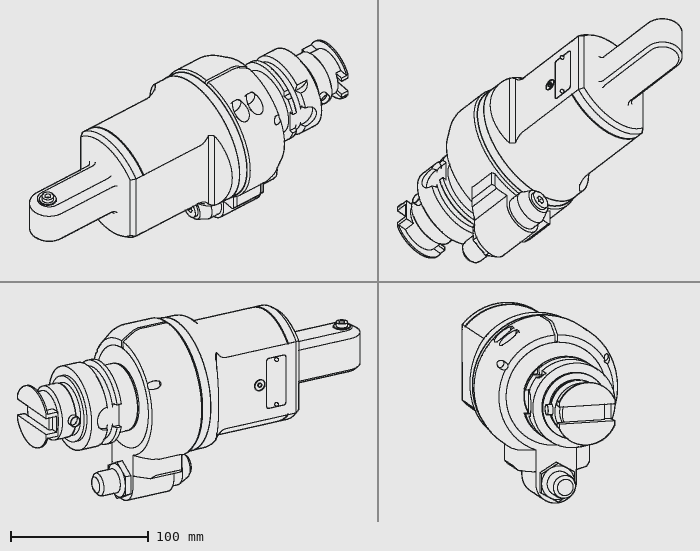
import cadquery as cq
import math

TOTAL_LENGTH = 272.5

TAIL_RADIUS = 34.0 / 2
TAIL_FLANGE_RADIUS = 23.2
TAIL_FLANGE_THICKNESS = 1.4
TAIL_HALF_WIDTH = 21.0
TAIL_SLOT_WIDTH = 12.5
TAIL_SLOT_DEPTH = 6.0
TAIL_POCKET_DEPTH = 8.7
TAIL_POCKET_FLOOR_X = 15.0
LUG_WIDTH = 19.0
LUG_LENGTH_LEFT = 9.8
LUG_LENGTH_RIGHT = 6.0
PILOT_START = 14.2
PILOT_RADIUS = 20.2
PILOT_RELIEF_START = 25.5
PILOT_RELIEF_RADIUS = 19.5
CROSS_TUBE_STATION = 23.0
CROSS_TUBE_DIAMETER = 8.0
CROSS_TUBE_BORE = 7.4
CROSS_TUBE_REACH = 23.7
STEP_START = 29.7
STEP_RADIUS = 24.5
COLLAR_START = 32.2
COLLAR_END = 57.8
COLLAR_RADIUS = 31.3
GRIP_GROOVE_CENTER = 50.1
GRIP_GROOVE_RADIUS = 27.5
GRIP_GROOVE_FLOOR_WIDTH = 4.4
NECK_RADIUS = 25.0
NECK_END = 74.5
NECK_RELIEF_RADIUS = 24.5
DRIVE_SLOT_WIDTH = 18.0
DRIVE_SLOT_START = 37.0
DRIVE_SLOT_FLOOR_X = 26.7
INDEX_NOTCH_X = 20.0
INDEX_NOTCH_Z = 19.5
INDEX_NOTCH_FLOOR_START = 44.0
INDEX_NOTCH_END_RADIUS = 7.4

RING_START = 75.8
RING_END = 114.7
RING_RADIUS = 51.0
RING_BACK_RADIUS = 43.5
RING_CONE_END = 85.5
RING_CONE_END_RADIUS = 50.0
RING_CYLINDER_START = 89.6
RING_CHAMFER = 1.77
RING_BORE_RADIUS = 38.1
SLIT_WIDTH = 2.2
CLAMP_HOLE_DIAMETER = 11.0
CLAMP_HOLE_STATIONS = (93.2, 106.0)
CLAMP_HOLE_Z = 40.0
CLAMP_HOLE_FLOOR_X = 23.7
SPANNER_HOLE_DIAMETER = 6.0
SPANNER_HOLE_RADIUS = 45.8
SPANNER_HOLE_END = 85.8
SPANNER_HOLE_ANGLES = (30.0, 150.0)
BRACKET_END = 110.0
BRACKET_HALF_WIDTH = 29.2
BRACKET_BOTTOM_Z = -57.2
BRACKET_CHAMFER = 3.3
BRACKET_FRONT_CHAMFER = 1.5
BRACKET_TAPER_END = 87.2
BRACKET_TAPER_FILLET = 2.7
BOSS_RADIUS = 15.5
BOSS_WIDTH = 30.8
BOSS_Z = -65.7

PIN_Z = -65.0
PIN_START = 53.5
PIN_TIP_RADIUS = 6.0
PIN_TIP_END = 55.5
PIN_LEAD_RADIUS = 8.5
PIN_LEAD_END = 58.0
PIN_RADIUS = 9.0
PIN_CONE_START = 69.0
NUT_START = 71.0
NUT_CORNER_DIAMETER = 29.0
HEX_HALF_ANGLE = 30.0
PIN_HEAD_RADIUS = 13.0
PIN_HEAD_CONE_START = 118.8
PIN_HEAD_CONE_END = 127.0
PIN_HEAD_CONE_RADIUS = 9.5
PIN_NOSE_RADIUS = 7.0
PIN_END = 129.5
PIN_SOCKET_DIAMETER = 6.0
PIN_SOCKET_DEPTH = 4.0

FLANGE_RADIUS = 49.5
FLANGE_STEP_STATION = 121.5
FLANGE_FRONT_RADIUS = 49.3
SHOULDER_START = 133.5
SHOULDER_OUTER_FILLET = 5.5
SHOULDER_INNER_FILLET = 9.3
BARREL_RADIUS = 42.5
BARREL_END = 203.0
BARREL_EDGE_INSET = 2.5
BARREL_EDGE_STATION = 206.5
FACE_STATION = 208.2
FACE_RADIUS = 30.8
FACE_HALF_WIDTH = 24.0
SEAM_STATION = 196.2
SEAM_WIDTH = 0.5
SEAM_DEPTH = 0.3
FLAT_X = 32.0
FLAT_START = 136.5
FLAT_SHOULDER_X = 35.2
FLAT_SHOULDER_STATION = 133.5
FLAT_SHOULDER_START = 128.0

PLATE_STATION = 186.5
PLATE_LENGTH = 16.0
PLATE_HEIGHT = 39.5
PLATE_CORNER_RADIUS = 2.0
PLATE_DEPTH = 0.3
RIVET_DIAMETER = 2.6
RIVET_Z = 17.7
RIVET_REACH = 2.0
RIVET_ROUNDING = 1.0
PLUG_STATION = 172.8
PLUG_DIAMETER = 8.5
PLUG_DEPTH = 0.8
PLUG_CENTER_DIAMETER = 3.0

ARM_HALF_WIDTH = 14.5
ARM_TOP_Z = 16.3
ARM_BOTTOM_Z = -14.7
ARM_TOP_CHAMFER_DROP = 4.0
ARM_TOP_CHAMFER_INSET = 5.7
ARM_BOTTOM_CHAMFER = 2.5
ARM_ROOT_FILLET = 3.3

TOOL_STATION = 259.5
TOOL_SEAT_DIAMETER = 12.5
TOOL_SEAT_DEPTH = 2.7
TOOL_RIM_DIAMETER = 12.0
TOOL_RIM_HEIGHT = 0.5
TOOL_NOSE_DIAMETER = 8.5
TOOL_NOSE_Z = 20.0
TOOL_BORE_DIAMETER = 4.0

CLEAR = 136.2
TOLERANCE = 0.03


def turned(profile):
    """Revolve (station, radius) points, closed along the axis, about Y."""
    first_station = profile[0][0]
    last_station = profile[-1][0]
    points = [(0, -first_station)]
    points += [(radius, -station) for station, radius in profile]
    points += [(0, -last_station)]
    return cq.Workplane("XY").polyline(points).close().revolve(360, (0, 0, 0), (0, 1, 0))


def block(x_range, stations, z_range):
    """Box between two X values, two stations and two Z values."""
    size_x = x_range[1] - x_range[0]
    size_y = stations[1] - stations[0]
    size_z = z_range[1] - z_range[0]
    corner = (x_range[0], -stations[1], z_range[0])
    return cq.Workplane("XY").box(size_x, size_y, size_z, centered=False).translate(corner)


def rod_along_x(diameter, station, z, x_start, x_end):
    solid = cq.Workplane("YZ").circle(diameter / 2).extrude(x_end - x_start)
    return solid.translate((x_start, -station, z))


def rod_along_y(diameter, x, z, start, end):
    solid = cq.Workplane("XZ").circle(diameter / 2).extrude(end - start)
    return solid.translate((x, -start, z))


def open_slot(width, start, end, floor_x):
    """Cutter for a slot in the +X side: round at its start, open at its end."""
    center = start + width / 2
    round_end = rod_along_x(width, center, 0, floor_x, CLEAR)
    straight = block((floor_x, CLEAR), (center, end), (-width / 2, width / 2))
    return round_end.union(straight)


def make_tail_flange():
    flange = turned([(0, TAIL_FLANGE_RADIUS), (TAIL_FLANGE_THICKNESS, TAIL_FLANGE_RADIUS)])
    sides = block(
        (-TAIL_HALF_WIDTH, TAIL_HALF_WIDTH),
        (0, TAIL_FLANGE_THICKNESS),
        (-TAIL_FLANGE_RADIUS, TAIL_FLANGE_RADIUS),
    )
    return flange.intersect(sides)


def index_notch():
    """Cutter for a corner notch in the collar, running up in an arc at its start."""
    arc_z = INDEX_NOTCH_Z + INDEX_NOTCH_END_RADIUS
    arc_diameter = 2 * INDEX_NOTCH_END_RADIUS
    run_up = rod_along_x(arc_diameter, INDEX_NOTCH_FLOOR_START, arc_z, INDEX_NOTCH_X, CLEAR)
    stations = (INDEX_NOTCH_FLOOR_START, COLLAR_END)
    return run_up.union(block((INDEX_NOTCH_X, CLEAR), stations, (INDEX_NOTCH_Z, CLEAR)))


def make_shank():
    groove_floor_start = GRIP_GROOVE_CENTER - GRIP_GROOVE_FLOOR_WIDTH / 2
    groove_floor_end = GRIP_GROOVE_CENTER + GRIP_GROOVE_FLOOR_WIDTH / 2
    groove_flank = (COLLAR_RADIUS - GRIP_GROOVE_RADIUS) / 2
    shank = turned([
        (0, TAIL_RADIUS),
        (PILOT_START - (PILOT_RADIUS - TAIL_RADIUS) / 2, TAIL_RADIUS),
        (PILOT_START, PILOT_RADIUS),
        (PILOT_RELIEF_START, PILOT_RADIUS),
        (PILOT_RELIEF_START, PILOT_RELIEF_RADIUS),
        (STEP_START, PILOT_RELIEF_RADIUS),
        (STEP_START, STEP_RADIUS),
        (COLLAR_START, STEP_RADIUS),
        (COLLAR_START, COLLAR_RADIUS),
        (groove_floor_start - groove_flank, COLLAR_RADIUS),
        (groove_floor_start, GRIP_GROOVE_RADIUS),
        (groove_floor_end, GRIP_GROOVE_RADIUS),
        (groove_floor_end + groove_flank, COLLAR_RADIUS),
        (COLLAR_END, COLLAR_RADIUS),
        (COLLAR_END, NECK_RADIUS),
        (NECK_END, NECK_RADIUS),
        (NECK_END, NECK_RELIEF_RADIUS),
        (RING_START, NECK_RELIEF_RADIUS),
    ])

    lug_z = (-LUG_WIDTH / 2, LUG_WIDTH / 2)
    shank = shank.union(make_tail_flange())
    shank = shank.union(block((-TAIL_HALF_WIDTH, 0), (0, LUG_LENGTH_LEFT), lug_z))
    shank = shank.union(block((0, TAIL_HALF_WIDTH), (0, LUG_LENGTH_RIGHT), lug_z))

    slot_z = (-TAIL_SLOT_WIDTH / 2, TAIL_SLOT_WIDTH / 2)
    shank = shank.cut(block((-CLEAR, CLEAR), (0, TAIL_SLOT_DEPTH), slot_z))
    shank = shank.cut(block((-CLEAR, -TAIL_POCKET_FLOOR_X), (0, TAIL_POCKET_DEPTH), slot_z))

    reach = CROSS_TUBE_REACH
    shank = shank.union(rod_along_x(CROSS_TUBE_DIAMETER, CROSS_TUBE_STATION, 0, -reach, reach))
    shank = shank.cut(rod_along_x(CROSS_TUBE_BORE, CROSS_TUBE_STATION, 0, -reach, reach))

    drive_slot = open_slot(DRIVE_SLOT_WIDTH, DRIVE_SLOT_START, COLLAR_END, DRIVE_SLOT_FLOOR_X)
    shank = shank.cut(drive_slot)
    shank = shank.cut(drive_slot.mirror("YZ"))
    return shank.cut(index_notch())


def make_bracket():
    """Block under the ring, tapered at the back, with a round-bottomed boss."""
    plan = [
        (BOSS_WIDTH / 2, -RING_START),
        (BRACKET_HALF_WIDTH, -BRACKET_TAPER_END),
        (BRACKET_HALF_WIDTH, -BRACKET_END + BRACKET_FRONT_CHAMFER),
        (BRACKET_HALF_WIDTH - BRACKET_FRONT_CHAMFER, -BRACKET_END),
    ]
    plan += [(-x, y) for x, y in reversed(plan)]
    body = cq.Workplane("XY").polyline(plan).close().extrude(BRACKET_BOTTOM_Z)
    for side in (-1, 1):
        corner = (side * BRACKET_HALF_WIDTH, -BRACKET_TAPER_END, BRACKET_BOTTOM_Z / 2)
        body = body.edges(cq.NearestToPointSelector(corner)).fillet(BRACKET_TAPER_FILLET)

    half = BRACKET_HALF_WIDTH
    cut = BRACKET_CHAMFER
    outline = [
        (-half, 0),
        (-half, BRACKET_BOTTOM_Z + cut),
        (-half + cut, BRACKET_BOTTOM_Z),
        (half - cut, BRACKET_BOTTOM_Z),
        (half, BRACKET_BOTTOM_Z + cut),
        (half, 0),
    ]
    body = body.intersect(cq.Workplane("XZ").polyline(outline).close().extrude(CLEAR))

    stations = (RING_START, BRACKET_END)
    boss_x = (-BOSS_WIDTH / 2, BOSS_WIDTH / 2)
    boss = rod_along_y(2 * BOSS_RADIUS, 0, BOSS_Z, RING_START, BRACKET_END)
    boss = boss.union(block((-BOSS_RADIUS, BOSS_RADIUS), stations, (BOSS_Z, 0)))
    boss = boss.intersect(block(boss_x, stations, (-CLEAR, 0)))
    return body.union(boss)


def make_clamp_ring():
    ring = turned([
        (RING_START, RING_BACK_RADIUS),
        (RING_CONE_END, RING_CONE_END_RADIUS),
        (RING_CYLINDER_START, RING_RADIUS),
        (RING_END - RING_CHAMFER, RING_RADIUS),
        (RING_END, RING_RADIUS - RING_CHAMFER),
    ])
    ring = ring.union(make_bracket())
    ring = ring.cut(rod_along_y(2 * RING_BORE_RADIUS, 0, 0, RING_START, RING_END))

    ring = ring.cut(block((-SLIT_WIDTH / 2, SLIT_WIDTH / 2), (RING_START, RING_END), (0, CLEAR)))
    for station in CLAMP_HOLE_STATIONS:
        hole = rod_along_x(CLAMP_HOLE_DIAMETER, station, CLAMP_HOLE_Z, CLAMP_HOLE_FLOOR_X, CLEAR)
        ring = ring.cut(hole)

    for angle in SPANNER_HOLE_ANGLES:
        x = SPANNER_HOLE_RADIUS * math.cos(math.radians(angle))
        z = SPANNER_HOLE_RADIUS * math.sin(math.radians(angle))
        ring = ring.cut(rod_along_y(SPANNER_HOLE_DIAMETER, x, z, RING_START, SPANNER_HOLE_END))

    return ring.cut(rod_along_y(2 * PIN_RADIUS, 0, PIN_Z, RING_START, BRACKET_END))


def make_stop_pin():
    nut_corner_radius = NUT_CORNER_DIAMETER / 2
    pin = turned([
        (PIN_START, PIN_TIP_RADIUS),
        (PIN_TIP_END, PIN_LEAD_RADIUS),
        (PIN_LEAD_END, PIN_RADIUS),
        (PIN_CONE_START, PIN_RADIUS),
        (NUT_START, nut_corner_radius * math.cos(math.radians(HEX_HALF_ANGLE))),
        (NUT_START, PIN_RADIUS),
        (BRACKET_END, PIN_RADIUS),
        (BRACKET_END, PIN_HEAD_RADIUS),
        (PIN_HEAD_CONE_START, PIN_HEAD_RADIUS),
        (PIN_HEAD_CONE_END, PIN_HEAD_CONE_RADIUS),
        (PIN_HEAD_CONE_END, PIN_NOSE_RADIUS),
        (PIN_END, PIN_NOSE_RADIUS),
    ])
    nut = cq.Workplane("XZ").polygon(6, NUT_CORNER_DIAMETER).extrude(RING_START - NUT_START)
    nut = nut.rotate((0, 0, 0), (0, 1, 0), HEX_HALF_ANGLE).translate((0, -NUT_START, 0))
    socket = cq.Workplane("XZ").polygon(6, PIN_SOCKET_DIAMETER).extrude(PIN_SOCKET_DEPTH)
    socket = socket.translate((0, PIN_SOCKET_DEPTH - PIN_END, 0))
    return pin.union(nut).cut(socket).translate((0, 0, PIN_Z))


def round_edge(body, station, radius):
    """Fillet the circular edge of a turned body at a station."""
    low = (-CLEAR, -station - TOLERANCE, -CLEAR)
    high = (CLEAR, -station + TOLERANCE, CLEAR)
    return body.edges(cq.selectors.BoxSelector(low, high)).fillet(radius)


def make_barrel():
    """Turned body with two long flats, standing on a spigot inside the clamp ring."""
    shoulder_end = SHOULDER_START + FLANGE_FRONT_RADIUS - BARREL_RADIUS
    barrel = turned([
        (RING_START, RING_BORE_RADIUS),
        (RING_END, RING_BORE_RADIUS),
        (RING_END, FLANGE_RADIUS),
        (FLANGE_STEP_STATION, FLANGE_RADIUS),
        (FLANGE_STEP_STATION, FLANGE_FRONT_RADIUS),
        (SHOULDER_START, FLANGE_FRONT_RADIUS),
        (shoulder_end, BARREL_RADIUS),
        (BARREL_END, BARREL_RADIUS),
        (BARREL_EDGE_STATION, BARREL_RADIUS - BARREL_EDGE_INSET),
        (FACE_STATION, FACE_RADIUS),
    ])
    barrel = round_edge(barrel, SHOULDER_START, SHOULDER_OUTER_FILLET)
    barrel = round_edge(barrel, shoulder_end, SHOULDER_INNER_FILLET)
    half_plan = [
        (FLANGE_RADIUS, -RING_START),
        (FLANGE_RADIUS, -FLAT_SHOULDER_START),
        (FLAT_SHOULDER_X, -FLAT_SHOULDER_STATION),
        (FLAT_X, -FLAT_START),
        (FLAT_X, -BARREL_END),
        (FLAT_X - BARREL_EDGE_INSET, -BARREL_EDGE_STATION),
        (FACE_HALF_WIDTH, -FACE_STATION),
    ]
    plan = half_plan + [(-x, y) for x, y in reversed(half_plan)]
    envelope = cq.Workplane("XY").polyline(plan).close().extrude(FLANGE_RADIUS, both=True)
    return barrel.intersect(envelope)


def make_seam():
    """Shallow ring groove round the barrel."""
    seam = cq.Workplane("XZ").circle(CLEAR).circle(BARREL_RADIUS - SEAM_DEPTH).extrude(SEAM_WIDTH)
    return seam.translate((0, SEAM_WIDTH / 2 - SEAM_STATION, 0))


def make_arm():
    """Arm with a half-round tip, chamfered above and below."""
    tip_center = -(TOTAL_LENGTH - ARM_HALF_WIDTH)
    arm = (
        cq.Workplane("XY", origin=(0, 0, ARM_BOTTOM_Z))
        .moveTo(-ARM_HALF_WIDTH, -RING_END)
        .lineTo(-ARM_HALF_WIDTH, tip_center)
        .threePointArc((0, -TOTAL_LENGTH), (ARM_HALF_WIDTH, tip_center))
        .lineTo(ARM_HALF_WIDTH, -RING_END)
        .close()
        .extrude(ARM_TOP_Z - ARM_BOTTOM_Z)
    )
    arm = arm.faces(">Z").edges("not >Y").chamfer(ARM_TOP_CHAMFER_DROP, ARM_TOP_CHAMFER_INSET)
    return arm.faces("<Z").edges("not >Y").chamfer(ARM_BOTTOM_CHAMFER)


def add_flat_details(housing):
    """Name plate recess with two domed rivets, and a plug recess, on the -X flat."""
    floor_x = -FLAT_X + PLATE_DEPTH
    plate = block(
        (-CLEAR, floor_x),
        (PLATE_STATION - PLATE_LENGTH / 2, PLATE_STATION + PLATE_LENGTH / 2),
        (-PLATE_HEIGHT / 2, PLATE_HEIGHT / 2),
    )
    housing = housing.cut(plate.edges("|X").fillet(PLATE_CORNER_RADIUS))
    for z in (-RIVET_Z, RIVET_Z):
        rivet = rod_along_x(RIVET_DIAMETER, PLATE_STATION, z, -FLAT_X - RIVET_REACH, floor_x)
        housing = housing.union(rivet.faces("<X").edges().fillet(RIVET_ROUNDING))

    plug_floor_x = -FLAT_X + PLUG_DEPTH
    housing = housing.cut(rod_along_x(PLUG_DIAMETER, PLUG_STATION, 0, -CLEAR, plug_floor_x))
    return housing.union(rod_along_x(PLUG_CENTER_DIAMETER, PLUG_STATION, 0, -FLAT_X, plug_floor_x))


def make_housing():
    housing = make_barrel().cut(make_seam()).union(make_arm())
    root = cq.selectors.BoxSelector(
        (-FACE_HALF_WIDTH, -FACE_STATION - TOLERANCE, -FACE_RADIUS),
        (FACE_HALF_WIDTH, -FACE_STATION + TOLERANCE, FACE_RADIUS),
    )
    housing = housing.edges(root).edges("#Y").fillet(ARM_ROOT_FILLET)
    housing = add_flat_details(housing)
    seat = cq.Workplane("XY").circle(TOOL_SEAT_DIAMETER / 2).extrude(CLEAR)
    return housing.cut(seat.translate((0, -TOOL_STATION, ARM_TOP_Z - TOOL_SEAT_DEPTH)))


def make_tool_spindle():
    rim_height = TOOL_SEAT_DEPTH + TOOL_RIM_HEIGHT
    nose_height = TOOL_NOSE_Z - ARM_TOP_Z - TOOL_RIM_HEIGHT
    spindle = cq.Workplane("XY").circle(TOOL_RIM_DIAMETER / 2).extrude(rim_height)
    spindle = spindle.faces(">Z").workplane().circle(TOOL_NOSE_DIAMETER / 2).extrude(nose_height)
    spindle = spindle.faces(">Z").workplane().hole(TOOL_BORE_DIAMETER, nose_height)
    return spindle.translate((0, -TOOL_STATION, ARM_TOP_Z - TOOL_SEAT_DEPTH))


shank = make_shank()
clamp_ring = make_clamp_ring()
stop_pin = make_stop_pin()
housing = make_housing()
tool_spindle = make_tool_spindle()

result = cq.Compound.makeCompound([
    shank.val(),
    clamp_ring.val(),
    stop_pin.val(),
    housing.val(),
    tool_spindle.val(),
])